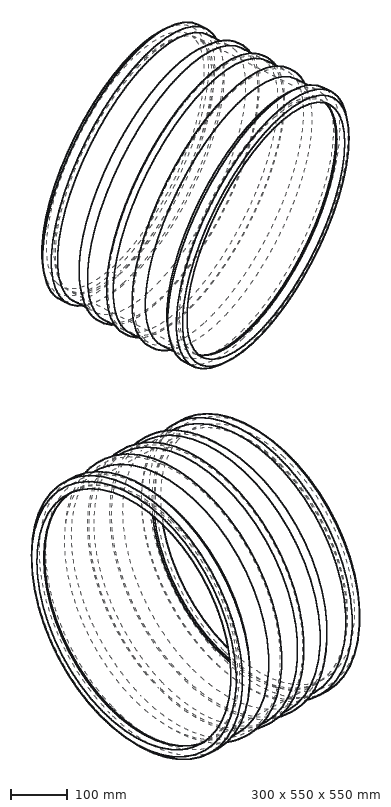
import cadquery as cq

length = 300.0
outer_radius = 275.0
bore_radius = 500.0 / 2
end_land_radius = 544.0 / 2
groove_radius = 527.5 / 2
middle_radius = 269.5

land_chamfer_length = 7.5
land_end = 33.5

rib_width = 12.0
middle_rib_rounding = 3.0
shoulder_flank_rounding = 5.0
shoulder_side_rounding = 2.0
shoulder_start = 79.0
shoulder_rib_end = 101.0
edge_margin = 0.5
shoulder_slope = outer_radius - groove_radius

lip_width = 16.5
relief_depth = 1.0
relief_slope = 3.5


def cylinder(radius, start, end):
    """Solid cylinder about the X axis between two X positions."""
    return cq.Workplane("YZ").workplane(offset=start).circle(radius).extrude(end - start)


def revolve_about_axis(points):
    """Revolve a closed (x, radius) outline about the X axis."""
    return cq.Workplane("XY").polyline(points).close().revolve(360, (0, 0), (1, 0))


def round_crest(rib, x, rounding):
    """Round the circular edge of a rib that lies at the given X position."""
    edge_box = cq.selectors.BoxSelector(
        (x - edge_margin, -length, -length),
        (x + edge_margin, length, length),
        boundingbox=True,
    )
    return rib.edges(edge_box).fillet(rounding)


def end_land():
    """Raised land at the -X end, chamfered on both edges."""
    return revolve_about_axis([
        (0, 0),
        (0, groove_radius),
        (land_chamfer_length, end_land_radius),
        (land_end - land_chamfer_length, end_land_radius),
        (land_end, groove_radius),
        (land_end, 0),
    ])


def shoulder_rib():
    """Rib with a conical flank toward the end and a rounded crest."""
    rib = revolve_about_axis([
        (shoulder_start, 0),
        (shoulder_start, groove_radius),
        (shoulder_start + shoulder_slope, outer_radius),
        (shoulder_rib_end, outer_radius),
        (shoulder_rib_end, 0),
    ])
    rib = round_crest(rib, shoulder_start + shoulder_slope, shoulder_flank_rounding)
    return round_crest(rib, shoulder_rib_end, shoulder_side_rounding)


def middle_rib():
    """Rib with rounded edges halfway along the ring."""
    start = (length - rib_width) / 2
    return cylinder(outer_radius, start, start + rib_width).edges().fillet(middle_rib_rounding)


def bore():
    """Through bore with a shallow relief between the end lips."""
    relief = revolve_about_axis([
        (lip_width, 0),
        (lip_width, bore_radius),
        (lip_width + relief_slope, bore_radius + relief_depth),
        (length - lip_width - relief_slope, bore_radius + relief_depth),
        (length - lip_width, bore_radius),
        (length - lip_width, 0),
    ])
    return cylinder(bore_radius, 0, length).union(relief)


body = cylinder(groove_radius, 0, length)
middle_start = shoulder_rib_end - shoulder_flank_rounding
body = body.union(cylinder(middle_radius, middle_start, length - middle_start))
for feature in (end_land(), shoulder_rib()):
    body = body.union(feature).union(feature.mirror("YZ", (length / 2, 0, 0)))
body = body.union(middle_rib())

result = body.cut(bore()).translate((-length / 2, 0, 0))